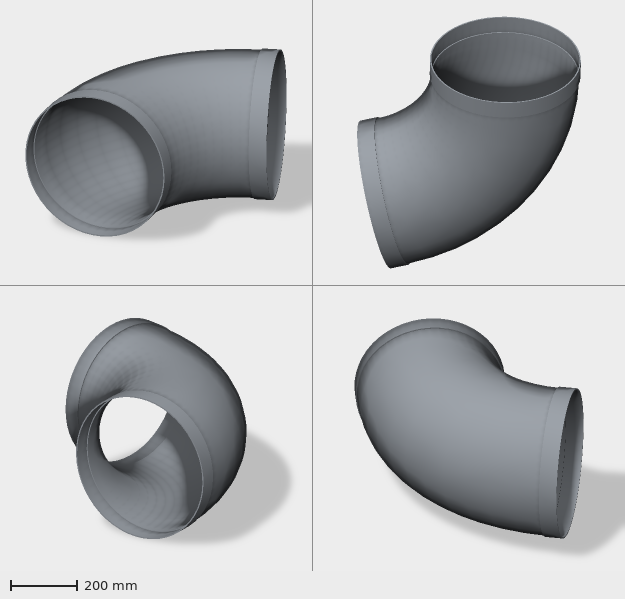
import cadquery as cq
import math

overall_length = 723
duct_diameter = 450.0
collar_diameter = 457.0
bend_radius = 450.0
bend_angle = 75
wall_thickness = 3.5
joint_overlap = 0.35

bore_diameter = duct_diameter - 2 * wall_thickness
collar_bore_diameter = duct_diameter - 2 * joint_overlap

turn = math.radians(bend_angle)
bend_end = (bend_radius * (1 - math.cos(turn)), bend_radius * math.sin(turn), 0)
end_direction = (math.sin(turn), math.cos(turn), 0)

rim_reach = collar_diameter / 2 * math.sin(turn)
collar_length = (overall_length - bend_end[1] - rim_reach) / (1 + math.cos(turn))

start_plane = cq.Plane(origin=(0, 0, 0), xDir=(1, 0, 0), normal=(0, 1, 0))
inlet_plane = cq.Plane(origin=(0, 0, 0), xDir=(1, 0, 0), normal=(0, -1, 0))
outlet_plane = cq.Plane(origin=bend_end, xDir=(0, 0, 1), normal=end_direction)


def bent_tube():
    """Hollow elbow revolved about the vertical axis through the bend centre."""
    return (
        cq.Workplane(start_plane)
        .circle(duct_diameter / 2)
        .circle(bore_diameter / 2)
        .revolve(bend_angle, (bend_radius, 0), (bend_radius, 1))
    )


def collar(plane):
    """Straight ring reaching outward from one end of the bend."""
    return (
        cq.Workplane(plane)
        .circle(collar_diameter / 2)
        .circle(collar_bore_diameter / 2)
        .extrude(collar_length)
    )


result = bent_tube().union(collar(inlet_plane)).union(collar(outlet_plane))